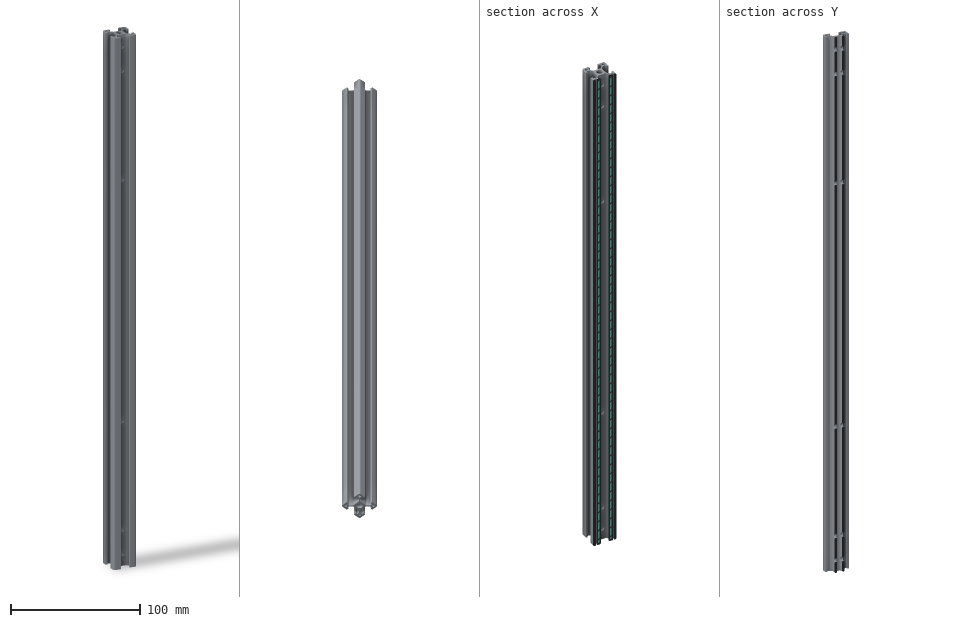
import cadquery as cq
import math

SIDE = 20.0
LENGTH = 440.0
CORNER_RADIUS = 1.5

MOUTH_WIDTH = 7.8
LIP_THICKNESS = 1.7
CAVITY_WIDTH = 10.8
SLOT_DEPTH = 6.1
WEB_THICKNESS = 0.85

BORE_DIAMETER = 5.0
CORNER_BORE_DIAMETER = 2.2
CORNER_BORE_OFFSET = 7.5

CROSS_HOLE_DIAMETER = 4.0
CROSS_HOLE_END_DISTANCES = (10.0, 30.0, 120.0)


def profile_blank():
    """Square bar with rounded long edges, standing on the XY plane."""
    return cq.Workplane("XY").rect(SIDE, SIDE).extrude(LENGTH).edges("|Z").fillet(CORNER_RADIUS)


def slot_cutter():
    """T-slot in the +Y face whose sloping sides leave diagonal webs."""
    face = SIDE / 2
    lip_inside = face - LIP_THICKNESS
    floor = face - SLOT_DEPTH
    half_mouth = MOUTH_WIDTH / 2
    half_cavity = CAVITY_WIDTH / 2
    web_offset = WEB_THICKNESS / 2 * math.sqrt(2)
    slope_top = half_cavity + web_offset
    half_floor = floor - web_offset
    right_side = [
        (half_mouth, face),
        (half_mouth, lip_inside),
        (half_cavity, lip_inside),
        (half_cavity, slope_top),
        (half_floor, floor),
    ]
    left_side = [(-x, y) for x, y in reversed(right_side)]
    return cq.Workplane("XY").polyline(right_side + left_side).close().extrude(LENGTH)


def bore_cutter(diameter, centres):
    """Round bores of one diameter running the full length at the given XY centres."""
    return cq.Workplane("XY").pushPoints(centres).circle(diameter / 2).extrude(LENGTH)


def cross_hole_cutter(height):
    """Round hole through the whole profile along X at the given height."""
    return (
        cq.Workplane("YZ", origin=(-SIDE / 2, 0, 0))
        .center(0, height)
        .circle(CROSS_HOLE_DIAMETER / 2)
        .extrude(SIDE)
    )


result = profile_blank()

slot = slot_cutter()
for quarter_turn in range(4):
    result = result.cut(slot.rotate((0, 0, 0), (0, 0, 1), 90 * quarter_turn))

corner_offsets = (-CORNER_BORE_OFFSET, CORNER_BORE_OFFSET)
corner_centres = [(x, y) for x in corner_offsets for y in corner_offsets]
result = result.cut(bore_cutter(BORE_DIAMETER, [(0, 0)]))
result = result.cut(bore_cutter(CORNER_BORE_DIAMETER, corner_centres))

for end_distance in CROSS_HOLE_END_DISTANCES:
    for height in (end_distance, LENGTH - end_distance):
        result = result.cut(cross_hole_cutter(height))